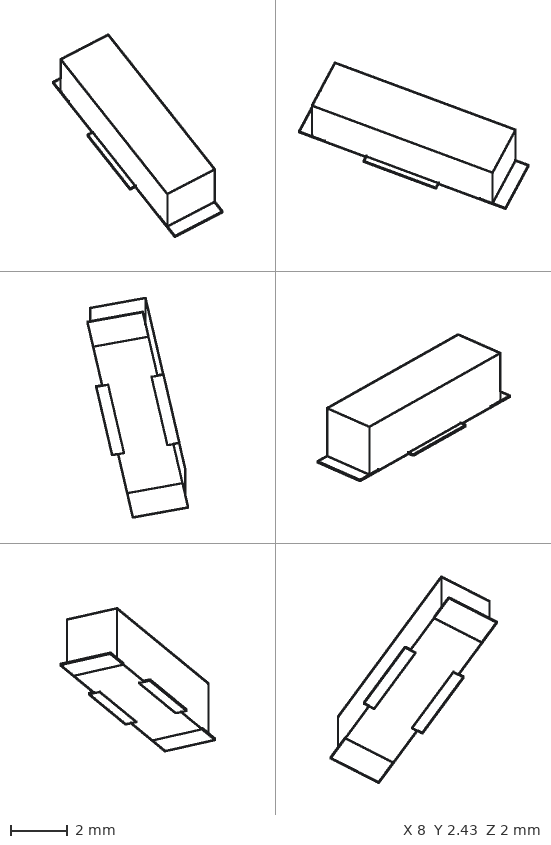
import cadquery as cq

TOTAL_LENGTH = 8.0
TOTAL_WIDTH = 2.43
TOTAL_HEIGHT = 2.0

HOUSING_LENGTH = 7.0
HOUSING_WIDTH = 2.0

TERMINAL_THICKNESS = 0.05
END_TERMINAL_LENGTH = 1.0
SIDE_TERMINAL_LENGTH = 2.8
SIDE_TERMINAL_OVERHANG = (TOTAL_WIDTH - HOUSING_WIDTH) / 2
SIDE_TERMINAL_WIDTH = 2 * SIDE_TERMINAL_OVERHANG


def block(length, width, height, center_x=0, center_y=0):
    """Box standing on the plane Z = 0, centred on the given point."""
    return (
        cq.Workplane("XY")
        .center(center_x, center_y)
        .box(length, width, height, centered=(True, True, False))
    )


def end_terminal(side):
    """Terminal across one end of the housing; side is -1 or 1 along X."""
    center_x = side * (TOTAL_LENGTH - END_TERMINAL_LENGTH) / 2
    return block(END_TERMINAL_LENGTH, HOUSING_WIDTH, TERMINAL_THICKNESS, center_x=center_x)


def side_terminal(side):
    """Terminal at the middle of one long side; side is -1 or 1 along Y."""
    center_y = side * (TOTAL_WIDTH - SIDE_TERMINAL_WIDTH) / 2
    return block(SIDE_TERMINAL_LENGTH, SIDE_TERMINAL_WIDTH, TERMINAL_THICKNESS, center_y=center_y)


def housing_block(terminals):
    """Plain block with a matching recess for every terminal."""
    body = block(HOUSING_LENGTH, HOUSING_WIDTH, TOTAL_HEIGHT)
    for terminal in terminals:
        body = body.cut(terminal)
    return body


end_terminals = [end_terminal(side) for side in (-1, 1)]
side_terminals = [side_terminal(side) for side in (-1, 1)]
terminals = end_terminals + side_terminals
housing = housing_block(terminals)

result = cq.Compound.makeCompound(
    [housing.val(), *[terminal.val() for terminal in terminals]]
)